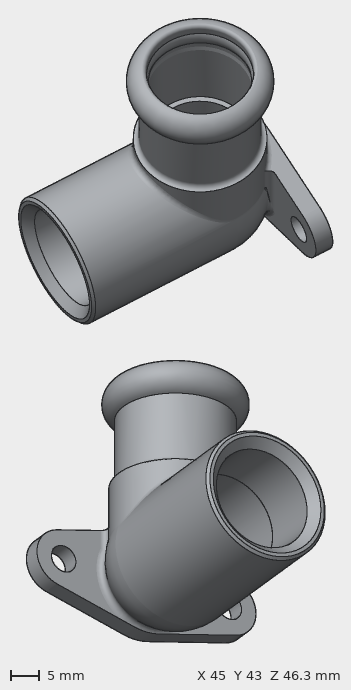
import cadquery as cq
import math


branch_radius = 12.25
branch_end_y = -30.0
branch_end_chamfer = 0.5
branch_bore_radius = 18.6 / 2
outer_bore_radius = 18.65 / 2
outer_bore_depth = 13.05
branch_bore_back_y = -0.85
mouth_radius = 11.05
mouth_depth = 1.75

collar_radius = 11.65
collar_top_z = 14.1
neck_radius = 10.65
bead_radius = 12.85
bead_top_z = 34.0
bead_height = 6.5
bead_flat_radius = 10.05
passage_radius = 8.15
socket_radius = 9.15
socket_seat_z = collar_top_z
lip_bore_radius = 9.35
socket_taper_height = 0.8
seal_inner_radius = 8.95
seal_width = 2.75

flange_back_y = 13.0
flange_thickness = 3.5
flange_center_radius = 9.7
flange_length = 45.0
lug_offset = 17.0
lug_radius = flange_length / 2 - lug_offset
lug_hole_diameter = 5.0

blend_radius = 1.0


def y_cylinder(radius, start_y, end_y):
    """Cylinder about the Y axis between two Y positions."""
    plane = cq.Workplane("XZ", origin=(0, start_y, 0))
    return plane.circle(radius).extrude(start_y - end_y)


def mounting_flange():
    """Round plate with two lugs joined to it by tangent sides."""
    tilt_sin = (flange_center_radius - lug_radius) / lug_offset
    tilt_cos = math.sqrt(1 - tilt_sin**2)
    lug_x = lug_offset + lug_radius * tilt_sin
    lug_z = lug_radius * tilt_cos
    center_x = flange_center_radius * tilt_sin
    center_z = flange_center_radius * tilt_cos
    return (
        cq.Workplane("XZ", origin=(0, flange_back_y, 0))
        .moveTo(-center_x, center_z)
        .threePointArc((0, flange_center_radius), (center_x, center_z))
        .lineTo(lug_x, lug_z)
        .threePointArc((lug_offset + lug_radius, 0), (lug_x, -lug_z))
        .lineTo(center_x, -center_z)
        .threePointArc((0, -flange_center_radius), (-center_x, -center_z))
        .lineTo(-lug_x, -lug_z)
        .threePointArc((-lug_offset - lug_radius, 0), (-lug_x, lug_z))
        .close()
        .extrude(flange_thickness)
    )


def is_branch_joint(edge):
    """True for the inner corners between branch, spherical back, collar and flange."""
    box = edge.BoundingBox()
    tolerance = 0.005
    flange_front_y = flange_back_y - flange_thickness
    seam_z = math.sqrt(branch_radius**2 - collar_radius**2)
    sphere_foot_radius = math.sqrt(branch_radius**2 - flange_front_y**2)
    middle = edge.positionAt(0.5)
    on_collar = abs(math.hypot(middle.x, middle.y) - collar_radius) < tolerance
    low_enough = seam_z - tolerance < box.zmin and box.zmax < collar_top_z - tolerance
    on_flange = abs(box.ymin - flange_front_y) < tolerance and box.ylen < tolerance
    on_sphere = abs(math.hypot(middle.x, middle.z) - sphere_foot_radius) < tolerance
    return (on_collar and low_enough) or (on_flange and on_sphere)


def elbow_body():
    """Horizontal branch, spherical back, collar and flange, with blended joints."""
    branch = y_cylinder(branch_radius, 0, branch_end_y)
    branch = branch.faces("<Y").chamfer(branch_end_chamfer)
    flange_front_y = flange_back_y - flange_thickness
    beyond_flange = y_cylinder(2 * branch_radius, 2 * branch_radius, flange_front_y)
    back = cq.Workplane("XZ").sphere(branch_radius).cut(beyond_flange)
    collar = cq.Workplane("XY").circle(collar_radius).extrude(collar_top_z)
    body = branch.union(back).union(collar).union(mounting_flange())
    joints = [edge for edge in body.edges().vals() if is_branch_joint(edge)]
    return body.newObject(joints).fillet(blend_radius)


def neck_and_bead():
    """Neck with a concave flare at its foot, topped by a rounded bead."""
    flare = collar_radius - neck_radius
    flare_middle = flare * (1 - math.sqrt(0.5))
    return (
        cq.Workplane("XZ")
        .moveTo(0, collar_top_z)
        .lineTo(collar_radius, collar_top_z)
        .threePointArc(
            (neck_radius + flare_middle, collar_top_z + flare_middle),
            (neck_radius, collar_top_z + flare),
        )
        .lineTo(neck_radius, bead_top_z - bead_height)
        .threePointArc(
            (bead_radius, bead_top_z - bead_height / 2),
            (bead_flat_radius, bead_top_z),
        )
        .lineTo(0, bead_top_z)
        .close()
        .revolve(360, (0, 0, 0), (0, 1, 0))
    )


def vertical_bore():
    """Socket with rounded lip and inward seal bulge, stepping down to a narrower passage."""
    lip_round = bead_flat_radius - lip_bore_radius
    lip_middle = lip_round * (1 - math.sqrt(0.5))
    seal_middle_z = bead_top_z - bead_height / 2
    return (
        cq.Workplane("XZ")
        .moveTo(0, 0)
        .lineTo(passage_radius, 0)
        .lineTo(passage_radius, socket_seat_z)
        .lineTo(socket_radius, socket_seat_z)
        .lineTo(socket_radius, bead_top_z - bead_height)
        .lineTo(lip_bore_radius, bead_top_z - bead_height + socket_taper_height)
        .lineTo(lip_bore_radius, seal_middle_z - seal_width / 2)
        .threePointArc(
            (seal_inner_radius, seal_middle_z),
            (lip_bore_radius, seal_middle_z + seal_width / 2),
        )
        .lineTo(lip_bore_radius, bead_top_z - lip_round)
        .threePointArc(
            (lip_bore_radius + lip_middle, bead_top_z - lip_middle),
            (bead_flat_radius, bead_top_z),
        )
        .lineTo(0, bead_top_z)
        .close()
        .revolve(360, (0, 0, 0), (0, 1, 0))
    )


def horizontal_bore():
    """Branch bore with a conical mouth, a slightly wider outer stretch and a spherical inner end."""
    bore = y_cylinder(branch_bore_radius, branch_bore_back_y, branch_end_y)
    inner_end = cq.Workplane("XZ", origin=(0, branch_bore_back_y, 0)).sphere(branch_bore_radius)
    outer_bore = y_cylinder(outer_bore_radius, branch_end_y + outer_bore_depth, branch_end_y)
    mouth = (
        cq.Workplane("XY")
        .moveTo(0, branch_end_y)
        .lineTo(mouth_radius, branch_end_y)
        .lineTo(outer_bore_radius, branch_end_y + mouth_depth)
        .lineTo(0, branch_end_y + mouth_depth)
        .close()
        .revolve(360, (0, 0, 0), (0, 1, 0))
    )
    return bore.union(inner_end).union(outer_bore).union(mouth)


def lug_holes():
    """Screw holes through both lugs."""
    return (
        cq.Workplane("XZ", origin=(0, flange_back_y, 0))
        .pushPoints([(-lug_offset, 0), (lug_offset, 0)])
        .circle(lug_hole_diameter / 2)
        .extrude(flange_thickness)
    )


result = (
    elbow_body()
    .union(neck_and_bead())
    .cut(vertical_bore())
    .cut(horizontal_bore())
    .cut(lug_holes())
)